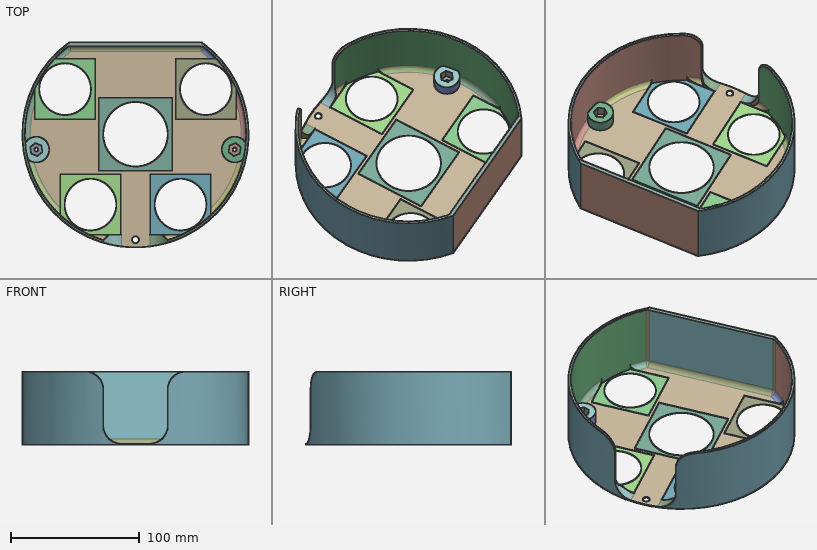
import cadquery as cq
import math

outer_radius = 88.0
wall = 2.0
inner_radius = outer_radius - wall
height = 57.0
floor_top = 1.0
flat_outer_y = 71.5
flat_inner_y = 68.3
cavity_fillet = 4.0

seat_floor = 0.5
center_seat = 57.0
center_hole_diameter = 50.0
outer_seat = 47.0
outer_hole_diameter = 40.0
hole_near = 35.0
hole_far = 54.7
outer_hole_centers = [
    (-hole_far, hole_near),
    (hole_far, hole_near),
    (-hole_near, -hole_far),
    (hole_near, -hole_far),
]

notch_width = 50.0
notch_radius = 14.0
notch_depth = 30.0

ramp_inner_y = -(hole_far + outer_seat / 2)
ramp_inner_height = cavity_fillet

front_hole_diameter = 5.2
front_hole_y = -82.0

boss_diameter = 20.0
boss_height = 10.0
boss_circle_radius = 78.0
boss_angle = 8.8
socket_across_flats = 8.8
socket_depth = 8.0
screw_hole_diameter = 3.0


def flatted_disc(radius, flat_y, bottom, top):
    """Upright disc whose +Y side is cut off flat at flat_y."""
    half_flat = math.sqrt(radius**2 - flat_y**2)
    return (
        cq.Workplane("XY", origin=(0, 0, bottom))
        .moveTo(half_flat, flat_y)
        .threePointArc((0, -radius), (-half_flat, flat_y))
        .close()
        .extrude(top - bottom)
    )


def cylinder(diameter, center, bottom, top):
    return (
        cq.Workplane("XY", origin=(*center, bottom))
        .circle(diameter / 2)
        .extrude(top - bottom)
    )


def make_tray():
    """Thin-walled tray, rounded along the floor and in the two flat-side corners."""
    cavity = flatted_disc(inner_radius, flat_inner_y, floor_top, height)
    cavity = cavity.edges("|Z or <Z").fillet(cavity_fillet)
    return flatted_disc(outer_radius, flat_outer_y, 0, height).cut(cavity)


def seat_cut(size, center):
    """Square recess that clears the floor rounding but stops at the wall."""
    block = (
        cq.Workplane("XY", origin=(*center, seat_floor))
        .rect(size, size)
        .extrude(floor_top + cavity_fillet - seat_floor)
    )
    return block.intersect(flatted_disc(inner_radius, flat_inner_y, 0, height))


def notch_cut():
    """U-shaped opening with rounded bottom corners, flared outward at the rim."""
    half = notch_width / 2
    r = notch_radius
    return (
        cq.Workplane("XZ", origin=(0, notch_depth - outer_radius, 0))
        .moveTo(-half - r, height)
        .radiusArc((-half, height - r), r)
        .lineTo(-half, floor_top + r)
        .radiusArc((-half + r, floor_top), -r)
        .lineTo(half - r, floor_top)
        .radiusArc((half, floor_top + r), -r)
        .lineTo(half, height - r)
        .radiusArc((half + r, height), r)
        .close()
        .extrude(notch_depth)
    )


def ramp_block():
    """Block behind the front wall, which the notch carves into one ramp at each corner.

    Its slanted ends run from the wall beside the notch to the point of the ramp's
    inner edge that is ramp_inner_height above the floor.
    """
    half_outer = notch_width / 2
    arc_drop = notch_radius - ramp_inner_height
    half_inner = half_outer - notch_radius + math.sqrt(notch_radius**2 - arc_drop**2)
    wall_y = -math.sqrt(inner_radius**2 - half_outer**2)
    return (
        cq.Workplane("XY", origin=(0, 0, floor_top))
        .moveTo(-half_inner, ramp_inner_y)
        .lineTo(half_inner, ramp_inner_y)
        .lineTo(half_outer, wall_y)
        .threePointArc((0, -inner_radius), (-half_outer, wall_y))
        .close()
        .extrude(notch_radius)
    )


def add_boss(body, side):
    """Boss on the left (side -1) or right (side 1), with a hex socket and a screw hole."""
    angle = math.radians(boss_angle)
    center = (
        side * boss_circle_radius * math.cos(angle),
        -boss_circle_radius * math.sin(angle),
    )
    boss_top = floor_top + boss_height
    boss = cylinder(boss_diameter, center, 0, boss_top)
    boss = boss.intersect(flatted_disc(inner_radius, flat_inner_y, 0, height))
    corner_diameter = socket_across_flats / math.cos(math.pi / 6)
    socket = (
        cq.Workplane("XY", origin=(*center, boss_top - socket_depth))
        .transformed(rotate=(0, 0, 90 - side * boss_angle))
        .polygon(6, corner_diameter)
        .extrude(socket_depth)
    )
    screw_hole = cylinder(screw_hole_diameter, center, 0, boss_top)
    return body.union(boss).cut(socket).cut(screw_hole)


result = make_tray().union(ramp_block()).cut(notch_cut())

result = result.cut(seat_cut(center_seat, (0, 0)))
result = result.cut(cylinder(center_hole_diameter, (0, 0), 0, height))
for hole_center in outer_hole_centers:
    result = result.cut(seat_cut(outer_seat, hole_center))
    result = result.cut(cylinder(outer_hole_diameter, hole_center, 0, height))

result = result.cut(cylinder(front_hole_diameter, (0, front_hole_y), 0, height))

for boss_side in (-1, 1):
    result = add_boss(result, boss_side)